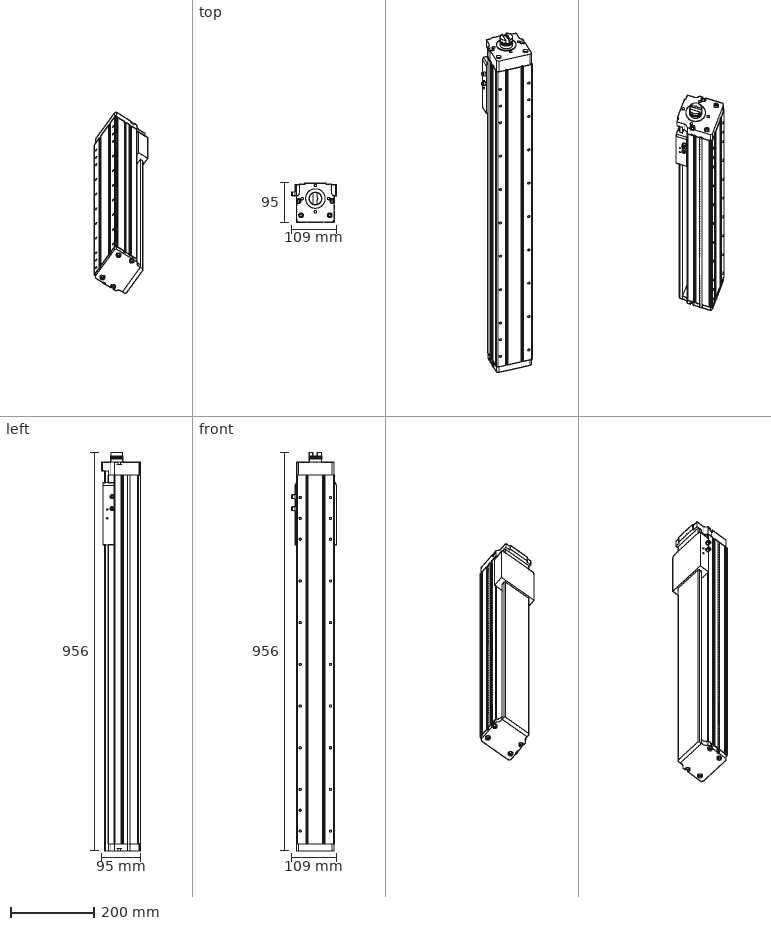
import cadquery as cq


total_height = 956.0
hub_height = 23.0
head_height = 32.0
flange_height = 21.0
cap_height = 17.0
head_top = total_height - hub_height
head_bottom = head_top - head_height
flange_bottom = head_top - flange_height
profile_height = head_bottom - cap_height

profile_half_width = 46.0
profile_depth = 64.0
front_corner_width = 3.0
front_corner_height = 1.0
back_corner_width = 1.0
back_corner_height = 3.0
toe_groove_y = 7.0
toe_groove_width = 3.0
toe_groove_depth = 2.0
slot_mouth = 6.0
slot_mouth_depth = 2.0
slot_neck = 2.3
slot_depth = 8.0
front_slot_x = 20.0
side_slot_y = 44.0

strip_y = 29.0
strip_width = 6.0
strip_thickness = 3.0

mount_x = 36.0
mount_first_z = 48.0
mount_half_pitch = 50.0
mount_diameter = 5.2
mount_depth = 10.0
paired_mount_steps = (0, 2, 4, 6, 8, 10, 12, 14, 15, 16)
single_mount_step = 1

end_inset = 1.0
end_half_width = 45.0
end_corner_width = 5.0
end_corner_height = 3.0
neck_half_width = 38.0
shoulder_start_y = 63.0
shoulder_end_y = 73.0
shoulder_mid_x = 41.0
shoulder_mid_y = 66.0
band_seat_y = 77.0
flange_y = 92.0
bump_y = 95.0
bump_half_width = 26.0

drive_y = 57.0
recess_diameter = 47.0
recess_depth = 2.0
bolt_circle_radius = 32.0
bolt_diameter = 6.0
bolt_depth = 10.0
screw_positions = [(-34.0, 17.0), (34.0, 17.0), (-40.0, 52.0), (40.0, 52.0)]
screw_head_diameter = 11.0
screw_head_depth = 6.0
screw_diameter = 6.0

band_half_width = 38.0
band_thickness = 10.0
band_chamfer = 3.0

carriage_left = -49.0
carriage_right = 51.0
carriage_back_y = 91.0
carriage_bottom = 734.0
carriage_top = 883.0
carriage_end_bevel_height = 7.0
carriage_end_bevel_width = 3.0
side_hole_y = 80.0
side_hole_heights = (798.0, 819.0)
side_hole_diameter = 3.25
side_hole_depth = 6.0
nipple_y = 69.0
nipple_heights = (821.0, 850.0)
nipple_base_diameter = 10.0
nipple_base_length = 6.0
nipple_tip_diameter = 8.5
nipple_length = 9.0
nipple_bore_diameter = 4.1

hub_diameter = 31.0
hub_waist_diameter = 30.0
hub_neck_height = 7.0
hub_ring_height = 3.0
jaw_height = 9.0
jaw_gap = 10.5
jaw_gap_x = -1.0
hub_bore_diameter = 11.0


def box(x_range, y_range, z_range):
    """A block between the given limits."""
    size = [high - low for low, high in (x_range, y_range, z_range)]
    corner = (x_range[0], y_range[0], z_range[0])
    return cq.Workplane("XY").box(*size, centered=False).translate(corner)


def rod(diameter, length, start, direction):
    """A cylinder from a start point along a direction."""
    solid = cq.Solid.makeCylinder(diameter / 2, length, cq.Vector(*start), cq.Vector(*direction))
    return cq.Workplane(solid)


def make_profile():
    middle_z = (cap_height + head_bottom) / 2
    front_half_width = profile_half_width - front_corner_width
    back_half_width = profile_half_width - back_corner_width
    back_corner_y = profile_depth - back_corner_height
    outline = [
        (-front_half_width, 0),
        (front_half_width, 0),
        (profile_half_width, front_corner_height),
        (profile_half_width, back_corner_y),
        (back_half_width, profile_depth),
        (-back_half_width, profile_depth),
        (-profile_half_width, back_corner_y),
        (-profile_half_width, front_corner_height),
    ]
    profile = cq.Workplane("XY", origin=(0, 0, cap_height)).polyline(outline).close().extrude(profile_height)

    for width, depth in ((slot_mouth, slot_mouth_depth), (slot_neck, slot_depth)):
        for side in (-1, 1):
            front_slot = cq.Workplane("XY").box(width, 2 * depth, profile_height)
            profile = profile.cut(front_slot.translate((side * front_slot_x, 0, middle_z)))
            side_slot = cq.Workplane("XY").box(2 * depth, width, profile_height)
            profile = profile.cut(side_slot.translate((side * profile_half_width, side_slot_y, middle_z)))

    grooves = (
        (strip_y, strip_width, strip_thickness),
        (toe_groove_y, toe_groove_width, toe_groove_depth),
    )
    for y, width, depth in grooves:
        for side in (-1, 1):
            groove = cq.Workplane("XY").box(2 * depth, width, profile_height)
            profile = profile.cut(groove.translate((side * profile_half_width, y, middle_z)))

    for x, steps in ((-mount_x, paired_mount_steps + (single_mount_step,)), (mount_x, paired_mount_steps)):
        for step in steps:
            z = mount_first_z + step * mount_half_pitch
            profile = profile.cut(rod(mount_diameter, mount_depth, (x, 0, z), (0, 1, 0)))
    return profile


def end_block(bottom, height, back_y):
    """Block with chamfered front corners and concave shoulders that narrow it towards the back."""
    return (
        cq.Workplane("XY", origin=(0, 0, bottom))
        .moveTo(-end_half_width + end_corner_width, end_inset)
        .lineTo(end_half_width - end_corner_width, end_inset)
        .lineTo(end_half_width, end_inset + end_corner_height)
        .lineTo(end_half_width, shoulder_start_y)
        .threePointArc((shoulder_mid_x, shoulder_mid_y), (neck_half_width, shoulder_end_y))
        .lineTo(neck_half_width, back_y)
        .lineTo(-neck_half_width, back_y)
        .lineTo(-neck_half_width, shoulder_end_y)
        .threePointArc((-shoulder_mid_x, shoulder_mid_y), (-end_half_width, shoulder_start_y))
        .lineTo(-end_half_width, end_inset + end_corner_height)
        .close()
        .extrude(height)
    )


def cut_screw_holes(block, outer_z, inward, height):
    """Counterbored screw holes entering from the outer end face."""
    for x, y in screw_positions:
        block = block.cut(rod(screw_head_diameter, screw_head_depth, (x, y, outer_z), (0, 0, inward)))
        block = block.cut(rod(screw_diameter, height, (x, y, outer_z), (0, 0, inward)))
    return block


def make_head():
    head = end_block(head_bottom, head_height, band_seat_y)
    head = head.union(end_block(flange_bottom, flange_height, flange_y))
    bump = box((-bump_half_width, bump_half_width), (drive_y, bump_y), (flange_bottom, head_top))
    head = head.union(bump)
    head = cut_screw_holes(head, head_top, -1, head_height)
    head = head.cut(rod(recess_diameter, recess_depth, (0, drive_y, head_top), (0, 0, -1)))
    for dx, dy in ((1, 0), (0, 1), (-1, 0), (0, -1)):
        bolt = (dx * bolt_circle_radius, drive_y + dy * bolt_circle_radius, head_top)
        head = head.cut(rod(bolt_diameter, bolt_depth, bolt, (0, 0, -1)))
    return head


def make_end_cap():
    cap = end_block(0, cap_height, band_seat_y)
    cap = cut_screw_holes(cap, 0, 1, cap_height)
    return cap.cut(make_strip())


def make_strip():
    """Flat strip that fills the -X side groove of the profile and runs on through the end cap."""
    x_range = (-profile_half_width, -profile_half_width + strip_thickness)
    y_range = (strip_y - strip_width / 2, strip_y + strip_width / 2)
    return box(x_range, y_range, (0, head_bottom))


def make_cover_band():
    """Band seated on the end cap and on the lower part of the head, passing through the carriage."""
    y_range = (band_seat_y, band_seat_y + band_thickness)
    band = box((-band_half_width, band_half_width), y_range, (0, flange_bottom))
    return band.edges("|Z and >Y").chamfer(band_chamfer)


def make_carriage():
    bevel_bottom = carriage_top - carriage_end_bevel_height
    outline = [
        (carriage_left, carriage_bottom),
        (carriage_right, carriage_bottom),
        (carriage_right, bevel_bottom),
        (carriage_right - carriage_end_bevel_width, carriage_top),
        (carriage_left + carriage_end_bevel_width, carriage_top),
        (carriage_left, bevel_bottom),
    ]
    carriage = (
        cq.Workplane("XZ", origin=(0, carriage_back_y, 0))
        .polyline(outline)
        .close()
        .extrude(carriage_back_y - profile_depth)
    )
    for z in side_hole_heights:
        start = (carriage_left, side_hole_y, z)
        carriage = carriage.cut(rod(side_hole_diameter, side_hole_depth, start, (1, 0, 0)))
    for z in nipple_heights:
        start = (carriage_left, nipple_y, z)
        carriage = carriage.union(rod(nipple_base_diameter, nipple_base_length, start, (-1, 0, 0)))
        carriage = carriage.union(rod(nipple_tip_diameter, nipple_length, start, (-1, 0, 0)))
        carriage = carriage.cut(rod(nipple_bore_diameter, nipple_length, start, (-1, 0, 0)))
    return carriage.cut(make_cover_band())


def make_hub():
    """Drive hub with two raised rings on a plain waist and a gap between its two jaws."""
    recess_floor = head_top - recess_depth
    neck_top = head_top + hub_neck_height
    jaw_root = total_height - jaw_height
    hub = rod(hub_waist_diameter, total_height - recess_floor, (0, drive_y, recess_floor), (0, 0, 1))
    for ring_bottom in (neck_top, jaw_root - hub_ring_height):
        hub = hub.union(rod(hub_diameter, hub_ring_height, (0, drive_y, ring_bottom), (0, 0, 1)))
    hub = hub.cut(rod(hub_bore_diameter, jaw_height, (0, drive_y, jaw_root), (0, 0, 1)))
    gap = cq.Workplane("XY").box(jaw_gap, 2 * hub_diameter, 2 * jaw_height)
    return hub.cut(gap.translate((jaw_gap_x, drive_y, total_height)))


profile = make_profile()
head = make_head()
end_cap = make_end_cap()
side_strip = make_strip()
cover_band = make_cover_band()
carriage = make_carriage()
hub = make_hub()

result = cq.Compound.makeCompound(
    [
        profile.val(),
        head.val(),
        end_cap.val(),
        side_strip.val(),
        cover_band.val(),
        carriage.val(),
        hub.val(),
    ]
)